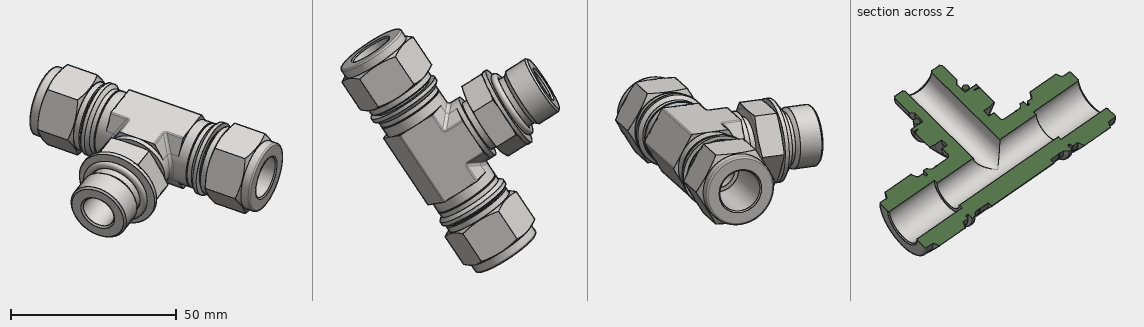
import cadquery as cq
import math

RUN_LENGTH = 75.2
BRANCH_END = 37.9

BARREL_DIA = 20.6
BLOCK_HALF_LENGTH = 12.3
BRANCH_FLAT_END = 12.5
BRANCH_BARREL_END = 14.1
EDGE_FILLET = 0.5
VALLEY_FILLET = 1.0

BORE_DIA = 10.4
STUD_MOUTH_DIA = 11.5
TUBE_DIA = 12.9
TUBE_MOUTH_DIA = 13.75
TUBE_DEPTH = 18.05

HEX_CORNER_DIA = 25.7
HEX_CHAMFER_START_DIA = 21.8

BARREL_GROOVE_IN = 15.6
BARREL_GROOVE_OUT = 15.9
BARREL_GROOVE_DIA = 20.3
CONE_IN = 17.4
CONE_OUT = 18.5
FLANGE_OUT = 19.7
FLANGE_DIA = 23.0
GAP_OUT = 20.45
GAP_DIA = 19.0
SKIRT_DIA = 21.5
SKIRT_CHAMFER = 0.3
TUBE_NUT_IN = 22.55
TUBE_NUT_OUT = 34.6
TUBE_NUT_CHAMFER = 0.9
NUT_COLLAR_DIA = 21.8
NUT_COLLAR_FILLET = 0.5

NECK_DIA = 16.7
LOCKNUT_IN = 16.4
LOCKNUT_OUT = 24.15
LOCKNUT_CHAMFER = 0.4
WASHER_OUT = 25.4
THREAD_CONE_START = 29.2
THREAD_START = 30.4
THREAD_DIA = 18.9
THREAD_CHAMFER = 0.6

RING_OUTER_DIA = 21.5
RING_SECTION_DIA = 2.2

FLANK_SLOPE = math.radians(30)
BARREL_RADIUS = BARREL_DIA / 2
FLAT_HALF_WIDTH = BARREL_RADIUS * math.tan(FLANK_SLOPE)
FLANK_TANGENT_ANGLE = 150
TOLERANCE = 0.01


def revolve_along_x(stations):
    """Solid of revolution about X from (distance, diameter) stations."""
    points = [(x, dia / 2) for x, dia in stations]
    outline = [(points[0][0], 0)] + points + [(points[-1][0], 0)]
    return cq.Workplane("XY").polyline(outline).close().revolve(360, (0, 0, 0), (1, 0, 0))


def to_branch(shape):
    """Turn a shape built along +X so that it points along -Y."""
    return shape.rotate((0, 0, 0), (0, 0, 1), -90)


def to_left(shape):
    return shape.mirror("YZ")


def chamfered_hexagon(start, end, chamfer):
    """Hexagon along X with flats facing +-Z and conically turned corners."""
    hexagon = cq.Workplane("YZ", origin=(start, 0, 0)).polygon(6, HEX_CORNER_DIA).extrude(end - start)
    turned = revolve_along_x([
        (start, HEX_CHAMFER_START_DIA),
        (start + chamfer, HEX_CORNER_DIA),
        (end - chamfer, HEX_CORNER_DIA),
        (end, HEX_CHAMFER_START_DIA),
    ])
    return hexagon.intersect(turned)


def leg(start, end, right_corner_is_round):
    """Bar along X: flats on +-Z, flanks blending into the barrel on -Y and, if asked, on +Y."""
    tangent_y = BARREL_RADIUS * math.cos(FLANK_SLOPE)
    tangent_z = BARREL_RADIUS * math.sin(FLANK_SLOPE)
    outline = (
        cq.Workplane("YZ", origin=(start, 0, 0))
        .moveTo(FLAT_HALF_WIDTH, BARREL_RADIUS)
        .lineTo(-FLAT_HALF_WIDTH, BARREL_RADIUS)
        .lineTo(-tangent_y, tangent_z)
        .threePointArc((-BARREL_RADIUS, 0), (-tangent_y, -tangent_z))
        .lineTo(-FLAT_HALF_WIDTH, -BARREL_RADIUS)
        .lineTo(FLAT_HALF_WIDTH, -BARREL_RADIUS)
    )
    if right_corner_is_round:
        outline = outline.lineTo(tangent_y, -tangent_z)
        outline = outline.threePointArc((BARREL_RADIUS, 0), (tangent_y, tangent_z))
    else:
        outline = outline.lineTo(2 * FLAT_HALF_WIDTH, 0)
    return outline.close().extrude(end - start)


def valley_edges(block):
    """Edges lying in the 45 degree planes where the branch meets the run."""
    def in_valley(edge):
        points = [edge.positionAt(t) for t in (0, 0.5, 1)]
        return all(abs(abs(p.x) + p.y) < TOLERANCE for p in points)
    return block.newObject([edge for edge in block.edges().vals() if in_valley(edge)])


def long_edges(block):
    """Borders of the two flats and the back corner, without the edges on the cut ends."""
    def on_cut_end(edge):
        box = edge.BoundingBox()
        at_run_end = box.xlen < TOLERANCE and abs(abs(box.xmin) - BLOCK_HALF_LENGTH) < TOLERANCE
        at_branch_end = box.ylen < TOLERANCE and abs(box.ymin + BRANCH_FLAT_END) < TOLERANCE
        return at_run_end or at_branch_end

    borders = block.faces("|Z").edges().vals() + block.edges(">Y").vals()
    return block.newObject([edge for edge in borders if not on_cut_end(edge)])


def tee_block():
    run = leg(-BLOCK_HALF_LENGTH, BLOCK_HALF_LENGTH, False)
    branch = leg(0, BRANCH_FLAT_END, True)
    block = run.union(to_branch(branch))
    block = valley_edges(block).fillet(VALLEY_FILLET)
    return long_edges(block).fillet(EDGE_FILLET)


def run_end():
    """Barrel, flange and tube nut on the +X side."""
    half_length = RUN_LENGTH / 2
    turned = revolve_along_x([
        (BLOCK_HALF_LENGTH, BARREL_DIA),
        (BARREL_GROOVE_IN, BARREL_DIA),
        (BARREL_GROOVE_IN, BARREL_GROOVE_DIA),
        (BARREL_GROOVE_OUT, BARREL_GROOVE_DIA),
        (BARREL_GROOVE_OUT, BARREL_DIA),
        (CONE_IN, BARREL_DIA),
        (CONE_OUT, FLANGE_DIA),
        (FLANGE_OUT, FLANGE_DIA),
        (FLANGE_OUT, GAP_DIA),
        (GAP_OUT, GAP_DIA),
        (GAP_OUT, SKIRT_DIA - 2 * SKIRT_CHAMFER),
        (GAP_OUT + SKIRT_CHAMFER, SKIRT_DIA),
        (TUBE_NUT_IN, SKIRT_DIA),
        (TUBE_NUT_IN, NUT_COLLAR_DIA),
        (half_length, NUT_COLLAR_DIA),
    ])
    turned = turned.faces(">X").edges().fillet(NUT_COLLAR_FILLET)
    return turned.union(chamfered_hexagon(TUBE_NUT_IN, TUBE_NUT_OUT, TUBE_NUT_CHAMFER))


def stud_end():
    """Neck, locknut, washer and threaded end, built along +X."""
    turned = revolve_along_x([
        (BRANCH_FLAT_END, BARREL_DIA),
        (BRANCH_BARREL_END, BARREL_DIA),
        (BRANCH_BARREL_END, NECK_DIA),
        (LOCKNUT_OUT, NECK_DIA),
        (LOCKNUT_OUT, HEX_CORNER_DIA),
        (WASHER_OUT, HEX_CORNER_DIA),
        (WASHER_OUT, NECK_DIA),
        (THREAD_CONE_START, NECK_DIA),
        (THREAD_START, THREAD_DIA),
        (BRANCH_END - THREAD_CHAMFER, THREAD_DIA),
        (BRANCH_END, THREAD_DIA - 2 * THREAD_CHAMFER),
    ])
    turned = turned.rotate((0, 0, 0), (1, 0, 0), FLANK_TANGENT_ANGLE)
    return turned.union(chamfered_hexagon(LOCKNUT_IN, LOCKNUT_OUT, LOCKNUT_CHAMFER))


def run_bore():
    """Cutter along the whole run: waterway in the middle, tube socket at each end."""
    half_length = RUN_LENGTH / 2
    shoulder = half_length - TUBE_DEPTH
    mouth = half_length - (TUBE_MOUTH_DIA - TUBE_DIA) / 2
    right_half = [
        (shoulder, BORE_DIA),
        (shoulder, TUBE_DIA),
        (mouth, TUBE_DIA),
        (half_length, TUBE_MOUTH_DIA),
    ]
    left_half = [(-x, dia) for x, dia in reversed(right_half)]
    return revolve_along_x(left_half + right_half)


def stud_bore():
    """Cutter along the branch, built along +X, with a chamfered mouth."""
    mouth = BRANCH_END - (STUD_MOUTH_DIA - BORE_DIA) / 2
    return revolve_along_x([
        (0, BORE_DIA),
        (mouth, BORE_DIA),
        (BRANCH_END, STUD_MOUTH_DIA),
    ])


def fitting_body():
    body = tee_block().union(run_end()).union(to_left(run_end())).union(to_branch(stud_end()))
    return body.cut(run_bore().union(to_branch(stud_bore())))


def o_ring():
    """Seal lying against the washer around the neck."""
    section_radius = RING_SECTION_DIA / 2
    centre_radius = RING_OUTER_DIA / 2 - section_radius
    seal = (
        cq.Workplane("XY")
        .center(WASHER_OUT + section_radius, centre_radius)
        .circle(section_radius)
        .revolve(360, (0, -centre_radius, 0), (1, -centre_radius, 0))
    )
    return to_branch(seal)


body = fitting_body()
seal = o_ring()

result = cq.Compound.makeCompound([body.val(), seal.val()])